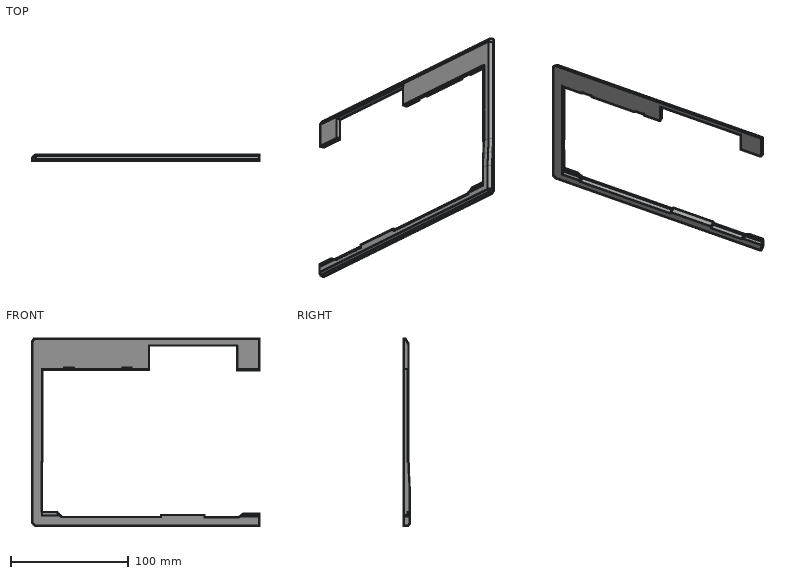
import cadquery as cq

WIDTH = 193.6
HEIGHT = 159.53
DEPTH_LOW = 5.33
DEPTH_HIGH = 4.35

SWELL_BOTTOM_Z = 26.7
SWELL_TOP_Z = 54.7

LEFT_BEVEL = 2.7
BOTTOM_BEVEL_Y = 1.8
BOTTOM_BEVEL_Z = 2.0
TOP_FLAT_Y = 1.5
TOP_BEVEL_SLOPE = 1.6
TOP_CORNER_DROP = 2.6
BOTTOM_CORNER = 2.7

LEFT_BAR_X = 8.2
UPPER_EDGE_Z = 133.5
BLOCK_END_X = 99.6
BAY_END_X = 174.7
BAY_TOP_Z = 153.7
BAR_TOP_Z = 7.5
BAR_TOP_RIGHT_Z = 7.0
PAD_START_X = 109.6
PAD_END_X = 147.0
PAD_TOP_Z = 9.4

LEFT_LEDGE_Z = 8.8
LEFT_TAB_Z = 12.0
LEFT_RAMP_X = 25.3
RIGHT_LEDGE_Z = 8.2
RIGHT_STEP_Z = 9.4
RIGHT_TAB_Z = 10.7
RIGHT_RAMP_X = 175.7
RIGHT_RAMP_SLOPE = 0.8

LIP_THICKNESS = 0.9
LIP_REACH = 0.6
TAB_LIP_REACH = 1.2
BAR_LIP_Z = 7.7
STEP_Y = 3.4
TAB_FRONT_Y = 4.3
TAB_BACK_Y = 4.8
UPPER_LIP_Y = DEPTH_HIGH - LIP_THICKNESS

NOTCHES = ((27.1, 36.5), (84.5, 75.9))
NOTCH_HEIGHT = 1.3
NOTCH_DEPTH = 2.5

MARGIN = 20.0


def prism(points, y_start, y_end):
    """Solid with the given XZ outline between two Y positions."""
    plane = cq.Plane(origin=(0, y_start, 0), xDir=(1, 0, 0), normal=(0, -1, 0))
    return cq.Workplane(plane).polyline(points).close().extrude(y_start - y_end)


def box(x_start, x_end, y_start, y_end, z_start, z_end):
    """Axis-aligned box between two corners."""
    size = (x_end - x_start, y_end - y_start, z_end - z_start)
    return cq.Workplane("XY").box(*size, centered=False).translate((x_start, y_start, z_start))


def half_space(point, normal):
    """Large block on the outer side of a plane."""
    reach = 2 * (WIDTH + HEIGHT)
    return cq.Workplane(cq.Plane(origin=point, normal=normal)).rect(reach, reach).extrude(MARGIN)


def blank():
    """Solid plate with an S-curved back face and a bevelled left back edge."""
    middle_y = (DEPTH_LOW + DEPTH_HIGH) / 2
    middle_z = (SWELL_BOTTOM_Z + SWELL_TOP_Z) / 2
    plate = (
        cq.Workplane("YZ")
        .lineTo(DEPTH_LOW, 0)
        .lineTo(DEPTH_LOW, SWELL_BOTTOM_Z)
        .tangentArcPoint((middle_y, middle_z), relative=False)
        .tangentArcPoint((DEPTH_HIGH, SWELL_TOP_Z), relative=False)
        .lineTo(DEPTH_HIGH, HEIGHT)
        .lineTo(0, HEIGHT)
        .close()
        .extrude(WIDTH)
    )
    near_back_left = cq.selectors.BoxSelector(
        (-LEFT_BEVEL, LEFT_BEVEL, LEFT_BEVEL),
        (LEFT_BEVEL, DEPTH_LOW + LEFT_BEVEL, HEIGHT - LEFT_BEVEL),
    )
    return plate.faces("<X").edges(near_back_left).chamfer(LEFT_BEVEL)


def bevel_outside(body):
    """Bevel the top and bottom back edges and cut the two left corners."""
    bottom_edge_y = DEPTH_LOW - BOTTOM_BEVEL_Y
    left_edge_y = DEPTH_LOW - LEFT_BEVEL
    corner_slope = (left_edge_y + BOTTOM_CORNER - bottom_edge_y) / BOTTOM_CORNER
    cuts = (
        ((0, TOP_FLAT_Y, HEIGHT), (0, TOP_BEVEL_SLOPE, 1)),
        ((0, 0, HEIGHT - TOP_CORNER_DROP), (-TOP_BEVEL_SLOPE, TOP_BEVEL_SLOPE, 1)),
        ((0, bottom_edge_y, 0), (0, BOTTOM_BEVEL_Z, -BOTTOM_BEVEL_Y)),
        ((0, 0, BOTTOM_CORNER), (-1, 0, -1)),
        ((0, left_edge_y, BOTTOM_CORNER), (-1, 1, -corner_slope)),
    )
    for point, normal in cuts:
        body = body.cut(half_space(point, normal))
    return body


def opening_above(lower_edge, block_z, tab_z, y_start, y_end):
    """Opening between the upper edge and a given lower edge, cut over a depth range."""
    right_x = WIDTH + MARGIN
    upper_edge = [
        (right_x, tab_z),
        (BAY_END_X, tab_z),
        (BAY_END_X, BAY_TOP_Z),
        (BLOCK_END_X, BAY_TOP_Z),
        (BLOCK_END_X, block_z),
        (LEFT_BAR_X, block_z),
    ]
    return prism(lower_edge + upper_edge, y_start, y_end)


def bar_edge(left_z, right_z, bar_z, bar_right_z):
    """Top outline of the bottom bar, with ramps up to its raised ends."""
    return [
        (LEFT_BAR_X, left_z),
        (LEFT_RAMP_X - (left_z - BAR_TOP_Z), left_z),
        (LEFT_RAMP_X + BAR_TOP_Z - bar_z, bar_z),
        (PAD_START_X, bar_z),
        (PAD_START_X, PAD_TOP_Z),
        (PAD_END_X, PAD_TOP_Z),
        (PAD_END_X, bar_right_z),
        (RIGHT_RAMP_X + (bar_right_z - BAR_TOP_RIGHT_Z) / RIGHT_RAMP_SLOPE, bar_right_z),
        (RIGHT_RAMP_X + (right_z - BAR_TOP_RIGHT_Z) / RIGHT_RAMP_SLOPE, right_z),
        (WIDTH + MARGIN, right_z),
    ]


def cut_opening(body):
    """Cut the opening layer by layer, leaving the lips, steps and tabs at the back."""
    front = bar_edge(LEFT_LEDGE_Z, RIGHT_LEDGE_Z, BAR_TOP_Z, BAR_TOP_RIGHT_Z)
    step = bar_edge(LEFT_TAB_Z, RIGHT_STEP_Z, BAR_TOP_Z, BAR_TOP_RIGHT_Z)
    tab = bar_edge(LEFT_TAB_Z, RIGHT_TAB_Z, BAR_LIP_Z, BAR_LIP_Z)
    back = bar_edge(LEFT_LEDGE_Z, RIGHT_LEDGE_Z, BAR_LIP_Z, BAR_LIP_Z)
    layers = (
        (front, -MARGIN, STEP_Y),
        (step, STEP_Y, TAB_FRONT_Y),
        (tab, TAB_FRONT_Y, TAB_BACK_Y),
        (back, TAB_BACK_Y, MARGIN),
    )
    left_lip = box(0, LEFT_BAR_X + LIP_REACH, UPPER_LIP_Y, MARGIN, SWELL_TOP_Z, HEIGHT)
    lip_z = UPPER_EDGE_Z - LIP_REACH
    tab_lip_z = UPPER_EDGE_Z - TAB_LIP_REACH
    for lower_edge, y_start, y_end in layers:
        opening = opening_above(lower_edge, lip_z, tab_lip_z, y_start, y_end)
        body = body.cut(opening.cut(left_lip))
    middle_edge = [(LEFT_BAR_X, SWELL_TOP_Z), (WIDTH + MARGIN, SWELL_TOP_Z)]
    upper_front = opening_above(middle_edge, UPPER_EDGE_Z, UPPER_EDGE_Z, -MARGIN, UPPER_LIP_Y)
    return body.cut(upper_front)


def cut_notches(body):
    """Cut two shallow notches in the front lower edge of the upper block."""
    top_z = UPPER_EDGE_Z + NOTCH_HEIGHT
    for square_x, ramp_x in NOTCHES:
        inward = NOTCH_HEIGHT if ramp_x < square_x else -NOTCH_HEIGHT
        outline = [
            (square_x, UPPER_EDGE_Z),
            (square_x, top_z),
            (ramp_x + inward, top_z),
            (ramp_x, UPPER_EDGE_Z),
        ]
        body = body.cut(prism(outline, -MARGIN, NOTCH_DEPTH))
    return body


result = cut_notches(cut_opening(bevel_outside(blank())))